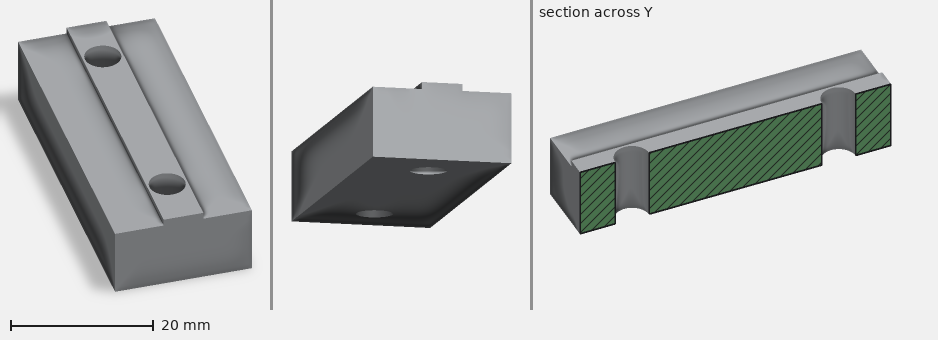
import cadquery as cq

length = 48.0
width = 20.0
base_height = 10.0

rib_width = 5.8
rib_height = 1.0

hole_diameter = 5.2
hole_spacing = 31.9

centred_on_floor = (True, True, False)


def make_base():
    return cq.Workplane("XY").box(length, width, base_height, centered=centred_on_floor)


def make_rib():
    return (
        cq.Workplane("XY")
        .workplane(offset=base_height)
        .box(length, rib_width, rib_height, centered=centred_on_floor)
    )


def make_holes():
    return (
        cq.Workplane("XY")
        .pushPoints([(-hole_spacing / 2, 0), (hole_spacing / 2, 0)])
        .circle(hole_diameter / 2)
        .extrude(base_height + rib_height)
    )


result = make_base().union(make_rib()).cut(make_holes())